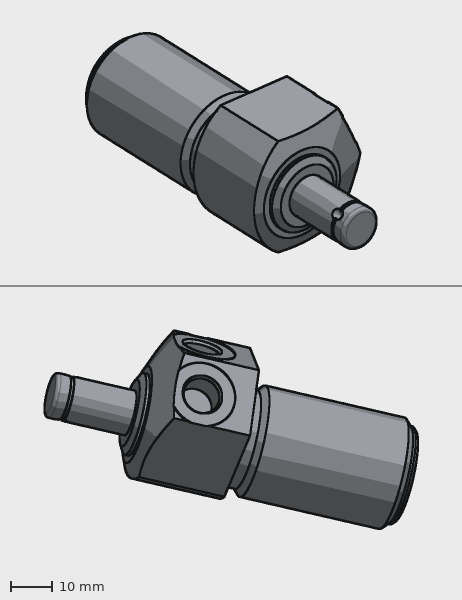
import cadquery as cq
import math

TOTAL_LENGTH = 90.12

BODY_RADIUS = 13.92
NECK_RADIUS = 12.3
END_FACE_RADIUS = 11.4
END_CHAMFER = NECK_RADIUS - END_FACE_RADIUS
END_LAND_X = 1.55
THREAD_CHAMFER = BODY_RADIUS - NECK_RADIUS
NECK_START_X = 40.25

HEAD_START_X = 44.0
HEAD_END_X = 67.95
HEAD_HEIGHT = 31.75
HEAD_WIDTH = 37.06
APEX_Y = 22.72
CROWN_Y = APEX_Y - HEAD_WIDTH
CROWN_EDGE_Y = -5.7
PORT_FACE_ANGLE = 25.0
CONE_ANGLE = 25.0
CONE_TIP_RADIUS = 12.1

COLLAR_RADIUS = 10.25
COLLAR_END_X = 69.9
COLLAR_BEVEL_LENGTH = 1.1
COLLAR_BEVEL_ANGLE = 60.0
COLLAR_BEVEL_HEIGHT = COLLAR_BEVEL_LENGTH * math.tan(math.radians(COLLAR_BEVEL_ANGLE))

PLUNGER_RADIUS = 5.6
PLUNGER_FILLET = 1.0
GROOVE_X = 86.1
GROOVE_WIDTH = 0.8
GROOVE_DEPTH = 0.4
DIMPLE_RADIUS = 1.65
DIMPLE_COUNT = 4
DIMPLE_START_ANGLE = 45.0

PORT_X = 57.1
PORT_Z = 8.7
SPOTFACE_RADIUS = 8.25
SPOTFACE_DEPTH = 0.2
PORT_MOUTH_RADIUS = 5.0
PORT_RADIUS = 4.5
PORT_CHAMFER_DEPTH = 0.85
PORT_DEPTH = 8.0


def revolve_about_x(points):
    """Revolve a closed (x, radius) outline about the X axis."""
    return cq.Workplane("XY").polyline(points).close().revolve(360, (0, 0, 0), (1, 0, 0))


def make_body():
    return revolve_about_x([
        (0, 0),
        (0, END_FACE_RADIUS),
        (END_CHAMFER, NECK_RADIUS),
        (END_LAND_X, NECK_RADIUS),
        (END_LAND_X + THREAD_CHAMFER, BODY_RADIUS),
        (NECK_START_X - THREAD_CHAMFER, BODY_RADIUS),
        (NECK_START_X, NECK_RADIUS),
        (HEAD_START_X, NECK_RADIUS),
        (HEAD_START_X, 0),
    ])


def make_head():
    head_length = HEAD_END_X - HEAD_START_X
    half_height = HEAD_HEIGHT / 2
    port_edge_y = APEX_Y - half_height * math.tan(math.radians(PORT_FACE_ANGLE))
    prism = (
        cq.Workplane("YZ", origin=(HEAD_START_X, 0, 0))
        .moveTo(APEX_Y, 0)
        .lineTo(port_edge_y, half_height)
        .lineTo(CROWN_EDGE_Y, half_height)
        .threePointArc((CROWN_Y, 0), (CROWN_EDGE_Y, -half_height))
        .lineTo(port_edge_y, -half_height)
        .close()
        .extrude(head_length)
    )
    cone_base_radius = CONE_TIP_RADIUS + head_length / math.tan(math.radians(CONE_ANGLE))
    cone = revolve_about_x([
        (HEAD_START_X, 0),
        (HEAD_START_X, cone_base_radius),
        (HEAD_END_X, CONE_TIP_RADIUS),
        (HEAD_END_X, 0),
    ])
    return prism.intersect(cone)


def make_collar():
    return revolve_about_x([
        (HEAD_END_X, 0),
        (HEAD_END_X, COLLAR_RADIUS),
        (COLLAR_END_X - COLLAR_BEVEL_LENGTH, COLLAR_RADIUS),
        (COLLAR_END_X, COLLAR_RADIUS - COLLAR_BEVEL_HEIGHT),
        (COLLAR_END_X, 0),
    ])


def make_plunger():
    return (
        cq.Workplane("YZ", origin=(COLLAR_END_X, 0, 0))
        .circle(PLUNGER_RADIUS)
        .extrude(TOTAL_LENGTH - COLLAR_END_X)
        .faces(">X")
        .edges()
        .fillet(PLUNGER_FILLET)
    )


def make_groove():
    """Ring that cuts the square groove round the plunger."""
    floor_radius = PLUNGER_RADIUS - GROOVE_DEPTH
    return (
        cq.Workplane("YZ", origin=(GROOVE_X - GROOVE_WIDTH / 2, 0, 0))
        .circle(2 * PLUNGER_RADIUS)
        .circle(floor_radius)
        .extrude(GROOVE_WIDTH)
    )


def make_dimple(angle):
    """90 degree cone pointing at the plunger axis, turned about X by the given angle."""
    cone_height = 2 * DIMPLE_RADIUS
    apex_radius = PLUNGER_RADIUS - DIMPLE_RADIUS
    cone = cq.Solid.makeCone(
        0, cone_height, cone_height,
        pnt=cq.Vector(GROOVE_X, 0, apex_radius),
        dir=cq.Vector(0, 0, 1),
    )
    return cq.Workplane(cone).rotate((0, 0, 0), (1, 0, 0), angle)


def make_port(side):
    """Port cutter for the upper (side = 1) or lower (side = -1) sloped face."""
    slope = math.radians(PORT_FACE_ANGLE)
    face_y = APEX_Y - PORT_Z * math.tan(slope)
    face = cq.Plane(
        origin=(PORT_X, face_y, side * PORT_Z),
        xDir=(1, 0, 0),
        normal=(0, math.cos(slope), side * math.sin(slope)),
    )
    chamfer_bottom = -SPOTFACE_DEPTH - PORT_CHAMFER_DEPTH
    cutter = (
        cq.Workplane("XZ")
        .polyline([
            (0, SPOTFACE_DEPTH),
            (SPOTFACE_RADIUS, SPOTFACE_DEPTH),
            (SPOTFACE_RADIUS, -SPOTFACE_DEPTH),
            (PORT_MOUTH_RADIUS, -SPOTFACE_DEPTH),
            (PORT_RADIUS, chamfer_bottom),
            (PORT_RADIUS, -PORT_DEPTH),
            (0, -PORT_DEPTH),
        ])
        .close()
        .revolve(360, (0, 0, 0), (0, 1, 0))
    )
    return cq.Workplane(cutter.val().moved(cq.Location(face)))


result = make_body().union(make_head()).union(make_collar()).union(make_plunger())

result = result.cut(make_groove())
for index in range(DIMPLE_COUNT):
    result = result.cut(make_dimple(DIMPLE_START_ANGLE + index * 360 / DIMPLE_COUNT))

for side in (1, -1):
    result = result.cut(make_port(side))